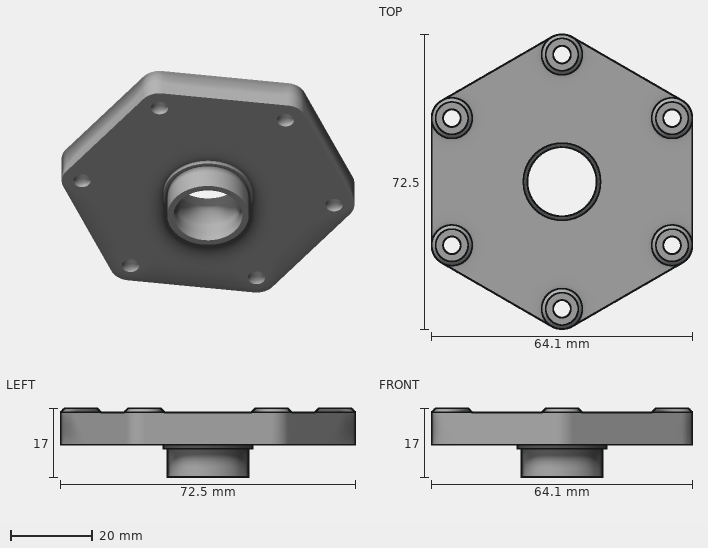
import cadquery as cq

overall_length = 72.5
corner_radius = 5.0
corner_circle_radius = overall_length / 2 - corner_radius
plate_thickness = 8.0
corner_count = 6
first_corner_angle = 90.0

pad_height = 1.0
pad_top_diameter = 8.0
pad_base_diameter = 2 * corner_radius
screw_hole_diameter = 4.3

flange_diameter = 22.0
flange_height = 1.0
spigot_diameter = 20.0
spigot_length = 8.0

bore_diameter = 17.0
counterbore_diameter = 19.0
counterbore_depth = 4.0


def at_corners(workplane):
    """Place a point at every corner of the hexagon."""
    return workplane.polarArray(corner_circle_radius, first_corner_angle, 360, corner_count)


def cylinder(diameter, bottom, top):
    """Vertical cylinder on the central axis."""
    return cq.Workplane("XY").workplane(offset=bottom).circle(diameter / 2).extrude(top - bottom)


def make_plate():
    """Hexagon of corner centres grown outward, with arcs around the corners."""
    return (
        cq.Workplane("XY")
        .polygon(corner_count, 2 * corner_circle_radius)
        .offset2D(corner_radius, "arc")
        .extrude(plate_thickness)
        .rotate((0, 0, 0), (0, 0, 1), first_corner_angle)
    )


def make_pads():
    """Truncated cones standing on the plate."""
    cone = cq.Solid.makeCone(pad_base_diameter / 2, pad_top_diameter / 2, pad_height)
    base = cq.Workplane("XY").workplane(offset=plate_thickness)
    return at_corners(base).eachpoint(lambda place: cone.moved(place), combine=False)


def make_screw_holes():
    """Cutters through the plate and the pads."""
    return at_corners(cq.Workplane("XY")).circle(screw_hole_diameter / 2).extrude(plate_thickness + pad_height)


flange = cylinder(flange_diameter, -flange_height, 0)
spigot = cylinder(spigot_diameter, -spigot_length, 0)
bore = cylinder(bore_diameter, -spigot_length, plate_thickness)
counterbore = cylinder(counterbore_diameter, plate_thickness - counterbore_depth, plate_thickness)

result = (
    make_plate()
    .union(make_pads())
    .union(flange)
    .union(spigot)
    .cut(bore)
    .cut(counterbore)
    .cut(make_screw_holes())
)